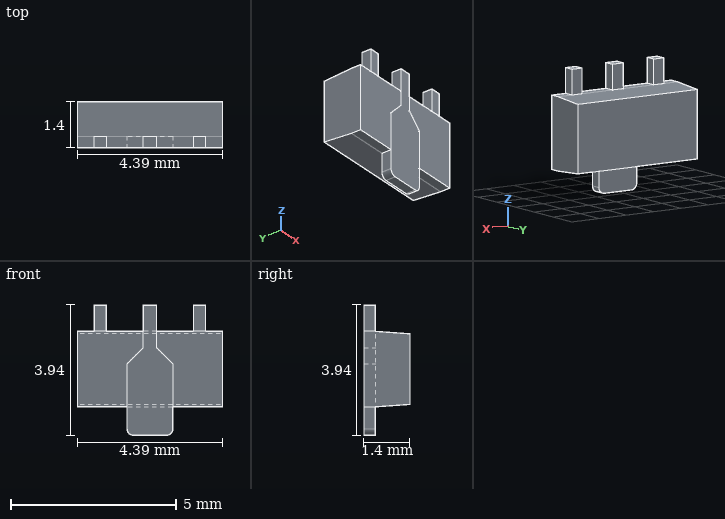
import cadquery as cq

HOUSING_WIDTH = 4.39
HOUSING_HEIGHT = 2.29
HOUSING_DEPTH = 1.4
REAR_TAPER = 0.075

METAL_THICKNESS = 0.35
LEAD_LENGTH = 0.79
LEAD_PITCH = 1.5
SIDE_LEAD_WIDTH = 0.37

CENTRE_LEAD_WIDTH = 0.41
TAB_WIDTH = 1.39
TAB_PROJECTION = 0.86
TAB_CORNER_RADIUS = 0.2
NECK_DEPTH = 0.5

housing_top = HOUSING_HEIGHT / 2
housing_bottom = -housing_top
lead_top = housing_top + LEAD_LENGTH
tab_bottom = housing_bottom - TAB_PROJECTION
shoulder_top = housing_top - NECK_DEPTH
shoulder_bottom = shoulder_top - (TAB_WIDTH - CENTRE_LEAD_WIDTH) / 2


def make_tab():
    """Centre lead, shoulders and plate in one sheet, lower corners rounded."""
    half_lead = CENTRE_LEAD_WIDTH / 2
    half_tab = TAB_WIDTH / 2
    outline = [
        (-half_lead, lead_top),
        (half_lead, lead_top),
        (half_lead, shoulder_top),
        (half_tab, shoulder_bottom),
        (half_tab, tab_bottom),
        (-half_tab, tab_bottom),
        (-half_tab, shoulder_bottom),
        (-half_lead, shoulder_top),
    ]
    sheet = cq.Workplane("XZ").polyline(outline).close().extrude(-METAL_THICKNESS)
    return sheet.faces("<Z").edges("|Y").fillet(TAB_CORNER_RADIUS)


def make_housing(tab):
    """Drafted block with a recess in its front that fits the tab."""
    profile = [
        (0, housing_bottom),
        (METAL_THICKNESS, housing_bottom),
        (HOUSING_DEPTH, housing_bottom + REAR_TAPER),
        (HOUSING_DEPTH, housing_top - REAR_TAPER),
        (METAL_THICKNESS, housing_top),
        (0, housing_top),
    ]
    block = cq.Workplane("YZ").polyline(profile).close().extrude(HOUSING_WIDTH / 2, both=True)
    return block.cut(tab)


def make_side_lead(x_center):
    """Straight lead standing on the top face of the housing."""
    return cq.Workplane("XY").box(
        SIDE_LEAD_WIDTH, METAL_THICKNESS, LEAD_LENGTH, centered=(True, False, False)
    ).translate((x_center, 0, housing_top))


tab = make_tab()
housing = make_housing(tab)
side_leads = [make_side_lead(side * LEAD_PITCH) for side in (-1, 1)]

result = cq.Compound.makeCompound(
    [housing.val(), tab.val(), *[lead.val() for lead in side_leads]]
)